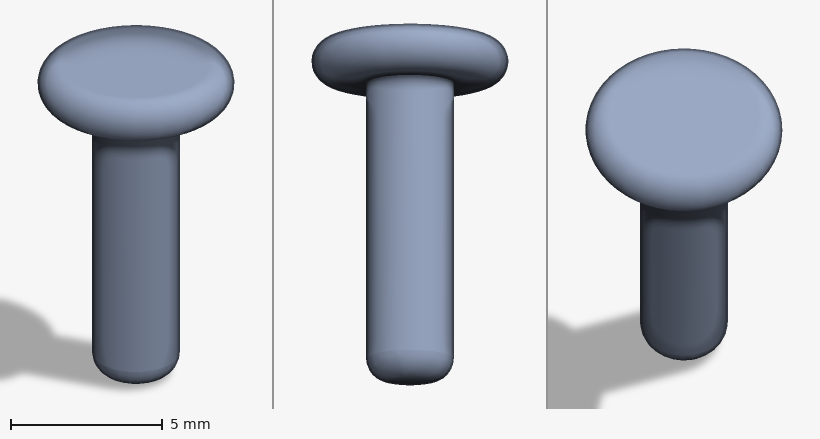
import cadquery as cq

total_length = 11.5
head_diameter = 6.5
head_thickness = 1.5
shank_diameter = 2.9
tip_radius = 0.75

head_radius = head_diameter / 2
shank_radius = shank_diameter / 2
rim_radius = head_thickness / 2
flat_radius = head_radius - rim_radius
head_bottom = total_length - head_thickness

shank = (
    cq.Workplane("XY")
    .circle(shank_radius)
    .extrude(head_bottom)
    .faces("<Z")
    .edges()
    .fillet(tip_radius)
)

head = (
    cq.Workplane("XZ")
    .moveTo(0, head_bottom)
    .lineTo(flat_radius, head_bottom)
    .threePointArc((head_radius, head_bottom + rim_radius), (flat_radius, total_length))
    .lineTo(0, total_length)
    .close()
    .revolve(360, (0, 0, 0), (0, 1, 0))
)

result = shank.union(head)